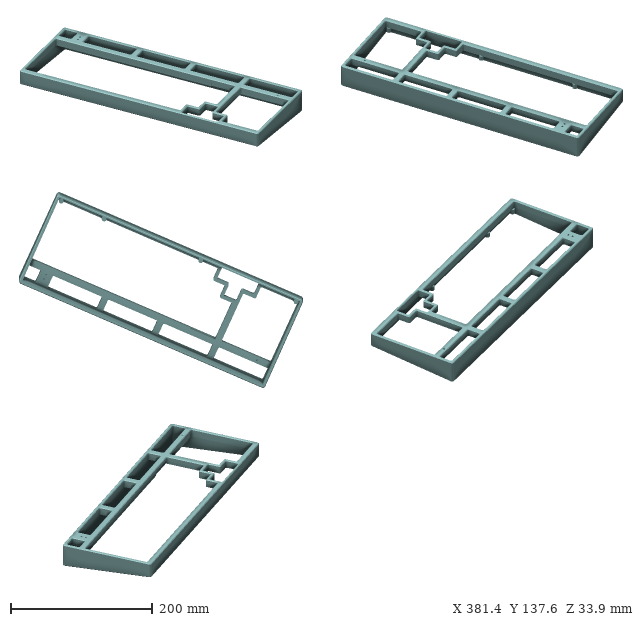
import cadquery as cq
import math

WIDTH = 381.42
DEPTH = 137.56
HEIGHT = 33.9
TILT = math.radians(5)
CORNER_RADIUS = 3.5
EDGE_CHAMFER = 1.0
BACK_HEIGHT = HEIGHT + EDGE_CHAMFER * math.sin(TILT)
FRONT_HEIGHT = BACK_HEIGHT - DEPTH * math.tan(TILT)

UNIT = 19.05
KEY_CLEARANCE = 0.25
GRID_COLUMNS = 19.5
GRID_LEFT = -GRID_COLUMNS * UNIT / 2
GRID_FRONT = -65.0
OPENING_RADIUS = 2.0

ARROW_GAP = 0.25
BLOCK_GAP = 0.5
MAIN_ROWS = 5
ARROW_ROW = 0
MAIN_FRONT_ROW = ARROW_ROW + ARROW_GAP
MAIN_BACK_ROW = MAIN_FRONT_ROW + MAIN_ROWS
FUNCTION_ROW = MAIN_BACK_ROW + BLOCK_GAP
GRID_ROWS = FUNCTION_ROW + 1
MAIN_COLUMNS = 15
NUMPAD_COLUMN = MAIN_COLUMNS + BLOCK_GAP
ARROW_COLUMN = 13.25
FUNCTION_SPANS = [(0, 1), (2, 6), (6.5, 10.5), (11, MAIN_COLUMNS), (NUMPAD_COLUMN, GRID_COLUMNS)]

PLATE_THICKNESS = 11.5
CAVITY_CLEARANCE = 1.0

INDICATOR_DIAMETER = 3.0
INDICATOR_BORE_DIAMETER = 2.0
INDICATOR_RECESS = 3.0
INDICATOR_SPACING = 7.0
INDICATOR_COLUMN = 1.5

RAIL_HOLE_DIAMETER = 2.4
RAIL_HOLE_COLUMN = 18.5

BOSS_DIAMETER = 7.0
FRONT_BOSS_BOTTOM = -19.0
FRONT_BOSS_Y = GRID_FRONT + 2.5
LEFT_BOSS_Y = FRONT_BOSS_Y + 1.0
END_BOSS_X = 182.0
FRONT_BOSSES = [
    (-END_BOSS_X, LEFT_BOSS_Y),
    (-116.0, FRONT_BOSS_Y),
    (33.9, FRONT_BOSS_Y),
    (END_BOSS_X, FRONT_BOSS_Y),
]

POCKET_LEFT = 61.5
POCKET_CEILING = -5.5
POCKET_SETBACK = 1.5


def grid_x(column):
    return GRID_LEFT + column * UNIT


def grid_y(row):
    return GRID_FRONT + row * UNIT


def wedge():
    half_depth = DEPTH / 2
    profile = [
        (-half_depth, 0),
        (half_depth, 0),
        (half_depth, -BACK_HEIGHT),
        (-half_depth, -FRONT_HEIGHT),
    ]
    solid = cq.Workplane("YZ").polyline(profile).close().extrude(WIDTH / 2, both=True)
    solid = solid.edges("|Z").fillet(CORNER_RADIUS)
    return solid.faces("<Z").chamfer(EDGE_CHAMFER)


def rectangle(left, right, front, back):
    return [(left, front), (right, front), (right, back), (left, back)]


def grid_prism(corners, clearance, top, bottom):
    """Upright prism over corners given in key units, grown outward by the clearance."""
    points = [(grid_x(column), grid_y(row)) for column, row in corners]
    outline = cq.Workplane("XY").workplane(offset=bottom).polyline(points).close()
    return outline.offset2D(clearance, "intersection").extrude(top - bottom)


def opening_outlines():
    lower_left = ARROW_COLUMN
    upper_left = lower_left + 1
    upper_right = lower_left + 2
    lower_right = lower_left + 3
    lower_top = ARROW_ROW + 1
    upper_top = ARROW_ROW + 2
    arrows = [
        (lower_left, ARROW_ROW),
        (lower_right, ARROW_ROW),
        (lower_right, lower_top),
        (upper_right, lower_top),
        (upper_right, upper_top),
        (upper_left, upper_top),
        (upper_left, lower_top),
        (lower_left, lower_top),
    ]
    main = [
        (0, MAIN_FRONT_ROW),
        (lower_left - ARROW_GAP, MAIN_FRONT_ROW),
        (lower_left - ARROW_GAP, lower_top + ARROW_GAP),
        (upper_left - ARROW_GAP, lower_top + ARROW_GAP),
        (upper_left - ARROW_GAP, upper_top + ARROW_GAP),
        (MAIN_COLUMNS, upper_top + ARROW_GAP),
        (MAIN_COLUMNS, MAIN_BACK_ROW),
        (0, MAIN_BACK_ROW),
    ]
    numpad = [
        (lower_right + ARROW_GAP, MAIN_FRONT_ROW),
        (GRID_COLUMNS, MAIN_FRONT_ROW),
        (GRID_COLUMNS, MAIN_BACK_ROW),
        (NUMPAD_COLUMN, MAIN_BACK_ROW),
        (NUMPAD_COLUMN, lower_top + ARROW_GAP),
        (lower_right + ARROW_GAP, lower_top + ARROW_GAP),
    ]
    functions = [rectangle(left, right, FUNCTION_ROW, GRID_ROWS) for left, right in FUNCTION_SPANS]
    return [main, arrows, numpad] + functions


def frame():
    """Wedge hollowed from below, with the key openings and chamfered top edges."""
    solid = wedge()
    whole_grid = rectangle(0, GRID_COLUMNS, ARROW_ROW, GRID_ROWS)
    solid = solid.cut(grid_prism(whole_grid, CAVITY_CLEARANCE, -PLATE_THICKNESS, -BACK_HEIGHT))
    for outline in opening_outlines():
        opening = grid_prism(outline, KEY_CLEARANCE, 0, -PLATE_THICKNESS)
        solid = solid.cut(opening.edges("|Z").fillet(OPENING_RADIUS))
    return solid.faces(">Z").chamfer(EDGE_CHAMFER)


def front_bosses():
    plane = cq.Workplane("XY").workplane(offset=FRONT_BOSS_BOTTOM)
    boss_length = -PLATE_THICKNESS - FRONT_BOSS_BOTTOM
    return plane.pushPoints(FRONT_BOSSES).circle(BOSS_DIAMETER / 2).extrude(boss_length)


def indicator_holes():
    """Cutter for through holes, each with a wider recess at the top."""
    back_y = grid_y((FUNCTION_ROW + GRID_ROWS) / 2)
    x = grid_x(INDICATOR_COLUMN)
    plane = cq.Workplane("XY").pushPoints([(x, back_y), (x, back_y - INDICATOR_SPACING)])
    recesses = plane.circle(INDICATOR_DIAMETER / 2).extrude(-INDICATOR_RECESS)
    bores = plane.circle(INDICATOR_BORE_DIAMETER / 2).extrude(-PLATE_THICKNESS)
    return recesses.union(bores)


def rail_hole():
    """Cutter for a through hole, widened at the top by the edge chamfer."""
    y = grid_y((MAIN_BACK_ROW + FUNCTION_ROW) / 2)
    plane = cq.Workplane("XY").center(grid_x(RAIL_HOLE_COLUMN), y)
    radius = RAIL_HOLE_DIAMETER / 2
    bore = plane.circle(radius).extrude(-PLATE_THICKNESS)
    countersink = plane.circle(radius + EDGE_CHAMFER).workplane(offset=-EDGE_CHAMFER).circle(radius).loft()
    return bore.union(countersink)


def rail_pocket():
    """Recess in the front face of the back rail, open below."""
    rail_face = grid_y(MAIN_BACK_ROW) + KEY_CLEARANCE
    pocket_right = grid_x(MAIN_COLUMNS) + KEY_CLEARANCE
    size_x = pocket_right - POCKET_LEFT
    size_y = POCKET_SETBACK + OPENING_RADIUS
    size_z = PLATE_THICKNESS + POCKET_CEILING
    block = cq.Workplane("XY").box(size_x, size_y, size_z, centered=False)
    return block.translate((POCKET_LEFT, rail_face - OPENING_RADIUS, -PLATE_THICKNESS))


result = frame().union(front_bosses())
result = result.cut(rail_pocket())
result = result.cut(indicator_holes())
result = result.cut(rail_hole())